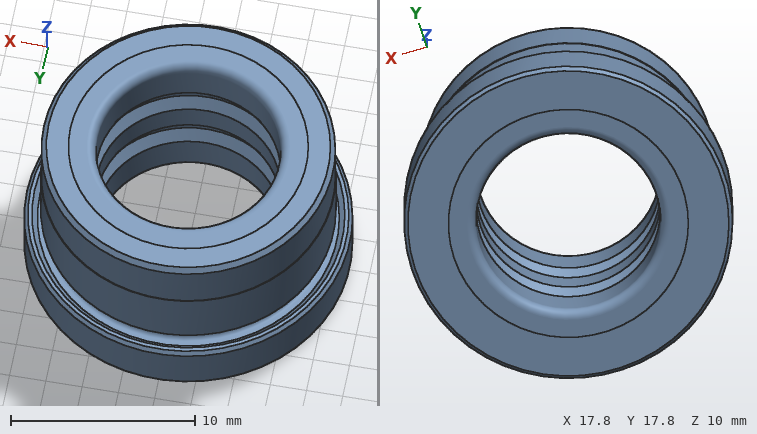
import cadquery as cq

total_height = 10.0
mid_height = total_height / 2

flange_radius = 17.8 / 2
flange_height = 3.0
flange_chamfer = 0.2
body_radius = 8.0
body_top_radius = 7.7
lead_in_radius = 7.97
lead_in_length = 3.0
lead_in_chamfer = lead_in_radius - body_top_radius

undercut_depth = 0.4
undercut_bevel_top = flange_height + 0.5
undercut_floor = flange_height - 0.3
undercut_rim_radius = 8.48
undercut_neck_radius = body_radius - undercut_depth
undercut_fillet = 0.3
undercut_bevel_bottom = undercut_bevel_top - undercut_depth
undercut_fillet_top = undercut_floor + undercut_fillet

liner_radius = 6.5
bore_radius = 5.0
bore_fillet = 0.5

groove_depth = 0.5
groove_mouth_width = 1.7
groove_floor_width = 0.5
land_between_grooves = 1.6
groove_offset = (land_between_grooves + groove_mouth_width) / 2


def make_housing():
    """Flanged sleeve, revolved from its half section in the XZ plane."""
    undercut_floor_outer = undercut_rim_radius - (flange_height - undercut_floor)
    lead_in_start = total_height - lead_in_length
    return (
        cq.Workplane("XZ")
        .moveTo(liner_radius, 0)
        .lineTo(flange_radius - flange_chamfer, 0)
        .lineTo(flange_radius, flange_chamfer)
        .lineTo(flange_radius, flange_height - flange_chamfer)
        .lineTo(flange_radius - flange_chamfer, flange_height)
        .lineTo(undercut_rim_radius, flange_height)
        .lineTo(undercut_floor_outer, undercut_floor)
        .lineTo(undercut_neck_radius + undercut_fillet, undercut_floor)
        .radiusArc((undercut_neck_radius, undercut_fillet_top), undercut_fillet)
        .lineTo(undercut_neck_radius, undercut_bevel_bottom)
        .lineTo(body_radius, undercut_bevel_top)
        .lineTo(body_radius, lead_in_start)
        .lineTo(lead_in_radius, lead_in_start)
        .lineTo(lead_in_radius, total_height - lead_in_chamfer)
        .lineTo(body_top_radius, total_height)
        .lineTo(liner_radius, total_height)
        .close()
        .revolve(360, (0, 0, 0), (0, 1, 0))
    )


def make_groove_cutter(center_height):
    """Ring with a trapezoid section that is widest at the bore surface."""
    half_mouth = groove_mouth_width / 2
    half_floor = groove_floor_width / 2
    floor_radius = bore_radius + groove_depth
    section = [
        (0, center_height - half_mouth),
        (bore_radius, center_height - half_mouth),
        (floor_radius, center_height - half_floor),
        (floor_radius, center_height + half_floor),
        (bore_radius, center_height + half_mouth),
        (0, center_height + half_mouth),
    ]
    return cq.Workplane("XZ").polyline(section).close().revolve(360, (0, 0, 0), (0, 1, 0))


def make_liner():
    """Bushing with rounded bore ends and two grooves in the bore."""
    liner = cq.Workplane("XY").circle(liner_radius).circle(bore_radius).extrude(total_height)
    bore_edges = cq.selectors.RadiusNthSelector(0)
    liner = liner.edges(bore_edges).fillet(bore_fillet)
    for side in (-1, 1):
        liner = liner.cut(make_groove_cutter(mid_height + side * groove_offset))
    return liner


housing = make_housing()
liner = make_liner()

result = cq.Compound.makeCompound([housing.val(), liner.val()])